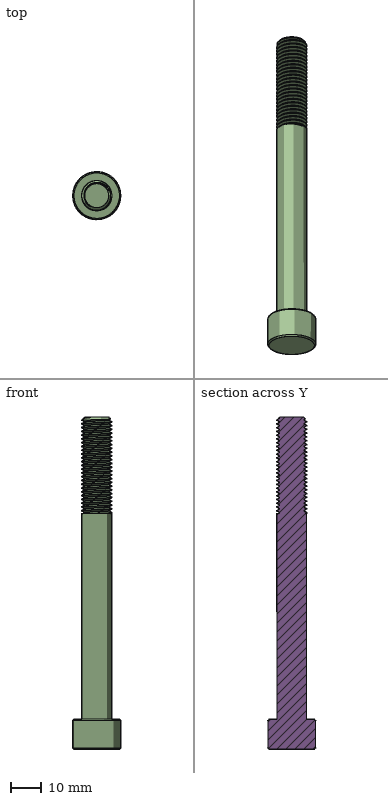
import cadquery as cq
import math

total_length = 110.0
head_diameter = 16.0
head_chamfer = 0.46
thread_diameter = 10.0
thread_length = 32.0
tip_diameter = 7.9

head_height = thread_diameter
head_radius = head_diameter / 2
thread_radius = thread_diameter / 2
tip_radius = tip_diameter / 2
thread_start = total_length - thread_length

pitch = thread_diameter / 8
flank_angle = 60
flank_slope = math.tan(math.radians(flank_angle / 2))
crest_width = pitch / 8
root_width = pitch / 8
thread_depth = (pitch - crest_width - root_width) / 2 / flank_slope
root_radius = thread_radius - thread_depth

thread_phase = 0.36

ridge_sink = 0.03


def make_head():
    head = cq.Workplane("XY").circle(head_radius).extrude(head_height)
    return head.edges().chamfer(head_chamfer)


def make_shank():
    shank = cq.Workplane("XY").workplane(offset=head_height).circle(thread_radius)
    return shank.extrude(thread_start - head_height)


def make_thread_envelope():
    """Space between the shank and the tip, narrowed at the top by the 45 degree tip cone."""
    envelope_radius = head_radius
    envelope = cq.Workplane("XY").workplane(offset=thread_start).circle(envelope_radius)
    return envelope.extrude(thread_length).faces(">Z").chamfer(envelope_radius - tip_radius)


def make_ridge():
    """Helical ridge that overruns both ends of the thread, bounded by four ruled faces and two caps."""
    overrun = 2 * pitch
    ridge_length = thread_length + 2 * overrun
    base = thread_start + thread_phase - overrun
    inner_radius = root_radius - ridge_sink
    inner_half_width = crest_width / 2 + (thread_radius - inner_radius) * flank_slope
    section = [
        (inner_radius, base - inner_half_width),
        (thread_radius, base - crest_width / 2),
        (thread_radius, base + crest_width / 2),
        (inner_radius, base + inner_half_width),
    ]

    helices = [
        cq.Wire.makeHelix(pitch, ridge_length, radius, center=cq.Vector(0, 0, height)).Edges()[0]
        for radius, height in section
    ]
    next_helices = helices[1:] + helices[:1]
    faces = [cq.Face.makeRuledSurface(first, second) for first, second in zip(helices, next_helices)]

    for rise in (0, ridge_length):
        turn = 2 * math.pi * rise / pitch
        corners = [
            cq.Vector(radius * math.cos(turn), radius * math.sin(turn), height + rise)
            for radius, height in section
        ]
        faces.append(cq.Face.makeFromWires(cq.Wire.makePolygon(corners, close=True)))
    return cq.Workplane(cq.Solid.makeSolid(cq.Shell.makeShell(faces)))


def make_threaded_end():
    envelope = make_thread_envelope()
    core = cq.Workplane("XY").workplane(offset=thread_start).circle(root_radius).extrude(thread_length)
    return core.intersect(envelope).union(make_ridge().intersect(envelope))


result = make_head().union(make_shank()).union(make_threaded_end())